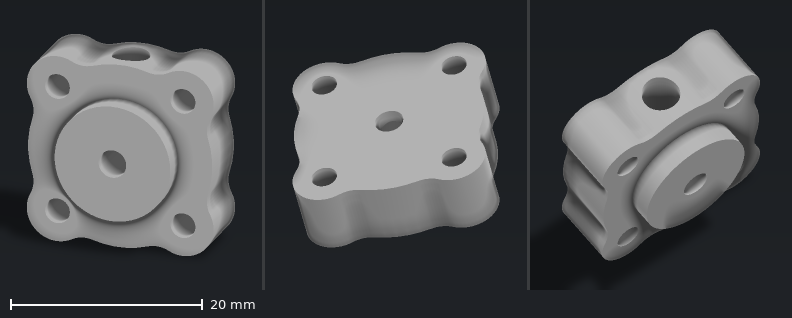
import cadquery as cq
import math

width = 20.57
body_thickness = 7.01
boss_height = 2.5
boss_diameter = 12.73

disc_radius = 10.15
lobe_radius = 3.37
blend_radius = 3.0
lobe_offset = width / 2 - lobe_radius

corner_hole_diameter = 2.74
bore_diameter = 3.05
side_hole_diameter = 4.05


def blend_points():
    """Ends and middle of the concave arc beside the upper right lobe, from disc to lobe."""
    lobe_distance = lobe_offset * math.sqrt(2)
    to_disc = disc_radius + blend_radius
    to_lobe = lobe_radius + blend_radius
    cos_turn = (lobe_distance**2 + to_disc**2 - to_lobe**2) / (2 * lobe_distance * to_disc)
    angle = math.pi / 4 + math.acos(cos_turn)
    center = cq.Vector(to_disc * math.cos(angle), to_disc * math.sin(angle))
    lobe_center = cq.Vector(lobe_offset, lobe_offset)
    disc_end = center * (disc_radius / to_disc)
    lobe_end = lobe_center + (center - lobe_center) * (lobe_radius / to_lobe)
    chord_middle = (disc_end + lobe_end) * 0.5
    middle = center + (chord_middle - center).normalized() * blend_radius
    return disc_end, middle, lobe_end


def rotated(point, degrees):
    a = math.radians(degrees)
    return (
        point.x * math.cos(a) - point.y * math.sin(a),
        point.x * math.sin(a) + point.y * math.cos(a),
    )


def mirrored(point):
    """Mirror across the diagonal through the upper right lobe."""
    return cq.Vector(point.y, point.x)


def make_body():
    disc_end, blend_middle, lobe_end = blend_points()
    lobe_tip_coordinate = lobe_offset + lobe_radius / math.sqrt(2)
    lobe_tip = cq.Vector(lobe_tip_coordinate, lobe_tip_coordinate)
    disc_top = cq.Vector(0, disc_radius)
    outline = cq.Workplane("XZ").moveTo(disc_end.y, disc_end.x)
    for turn in (0, 90, 180, 270):
        arcs = [
            (mirrored(blend_middle), mirrored(lobe_end)),
            (lobe_tip, lobe_end),
            (blend_middle, disc_end),
            (disc_top, cq.Vector(-disc_end.x, disc_end.y)),
        ]
        for middle, end in arcs:
            outline = outline.threePointArc(rotated(middle, turn), rotated(end, turn))
    return outline.close().extrude(body_thickness)


def make_boss():
    return (
        cq.Workplane("XZ", origin=(0, -body_thickness, 0))
        .circle(boss_diameter / 2)
        .extrude(boss_height)
    )


def make_through_holes():
    total_depth = body_thickness + boss_height
    bore = cq.Workplane("XZ").circle(bore_diameter / 2).extrude(total_depth)
    corner_holes = (
        cq.Workplane("XZ")
        .rect(2 * lobe_offset, 2 * lobe_offset, forConstruction=True)
        .vertices()
        .circle(corner_hole_diameter / 2)
        .extrude(total_depth)
    )
    return bore.union(corner_holes)


def make_side_hole():
    """Radial hole from the top edge down to the bore axis, midway through the body."""
    return (
        cq.Workplane("XY", origin=(0, -body_thickness / 2, 0))
        .circle(side_hole_diameter / 2)
        .extrude(width / 2)
    )


result = make_body().union(make_boss()).cut(make_through_holes()).cut(make_side_hole())